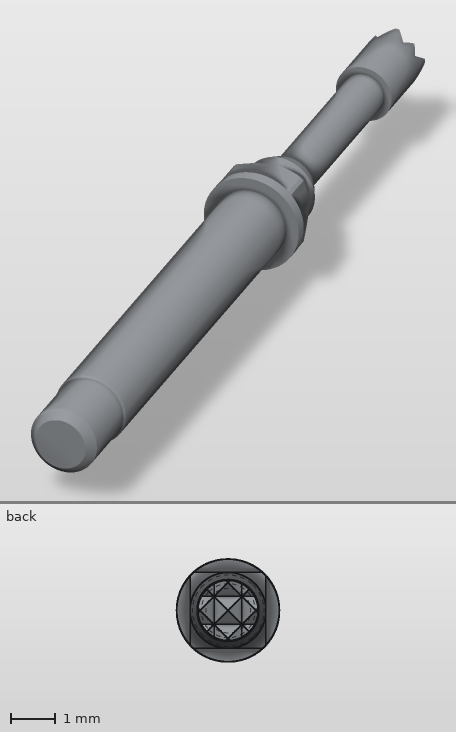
import cadquery as cq


tail_dia = 1.6
barrel_dia = 1.7
flange_dia = 2.3
head_tip_dia = 1.38
plunger_dia = 1.0
crown_dia = 1.35

tail_end = 1.7
seat_face = 11.0
flange_front = 11.3
square_front = 12.3
head_taper_start = 12.65
head_front = 13.0
crown_back = 17.5
overall_length = 19.5

tail_chamfer = 0.2

point_pitch = 0.62
groove_depth = 0.47
grooves_per_side = 2


def turned_body():
    """Everything round, revolved from a half profile of (radius, Y) points."""
    tail_r = tail_dia / 2
    barrel_r = barrel_dia / 2
    flange_r = flange_dia / 2
    shoulder_length = barrel_r - tail_r
    half_profile = [
        (0, 0),
        (tail_r - tail_chamfer, 0),
        (tail_r, tail_chamfer),
        (tail_r, tail_end),
        (barrel_r, tail_end + shoulder_length),
        (barrel_r, seat_face),
        (flange_r, seat_face),
        (flange_r, flange_front),
        (barrel_r, flange_front),
        (barrel_r, head_taper_start),
        (head_tip_dia / 2, head_front),
        (plunger_dia / 2, head_front),
        (plunger_dia / 2, crown_back),
        (crown_dia / 2, crown_back),
        (crown_dia / 2, overall_length),
        (0, overall_length),
    ]
    return cq.Workplane("XY").polyline(half_profile).close().revolve(360, (0, 0), (0, 1))


def wrench_square():
    """Square as wide as the barrel, its corners turned to the flange size and chamfered at 45 degrees."""
    barrel_r = barrel_dia / 2
    flange_r = flange_dia / 2
    corner_chamfer = flange_r - barrel_r
    length = square_front - flange_front
    square = cq.Workplane("XY").box(barrel_dia, length, barrel_dia)
    square = square.translate((0, flange_front + length / 2, 0))
    envelope = (
        cq.Workplane("XY")
        .moveTo(0, flange_front)
        .lineTo(flange_r, flange_front)
        .lineTo(flange_r, square_front - corner_chamfer)
        .lineTo(barrel_r, square_front)
        .lineTo(0, square_front)
        .close()
        .revolve(360, (0, 0), (0, 1))
    )
    return square.intersect(envelope)


def crown_groove(offset):
    """V groove running along Z, centred at X = offset, open at the tip of the crown."""
    half_width = point_pitch / 2
    return (
        cq.Workplane("XY")
        .moveTo(offset - half_width, overall_length)
        .lineTo(offset, overall_length - groove_depth)
        .lineTo(offset + half_width, overall_length)
        .close()
        .extrude(crown_dia, both=True)
    )


result = turned_body().union(wrench_square())

for index in range(-grooves_per_side, grooves_per_side):
    groove = crown_groove((index + 0.5) * point_pitch)
    result = result.cut(groove)
    result = result.cut(groove.rotate((0, 0, 0), (0, 1, 0), 90))